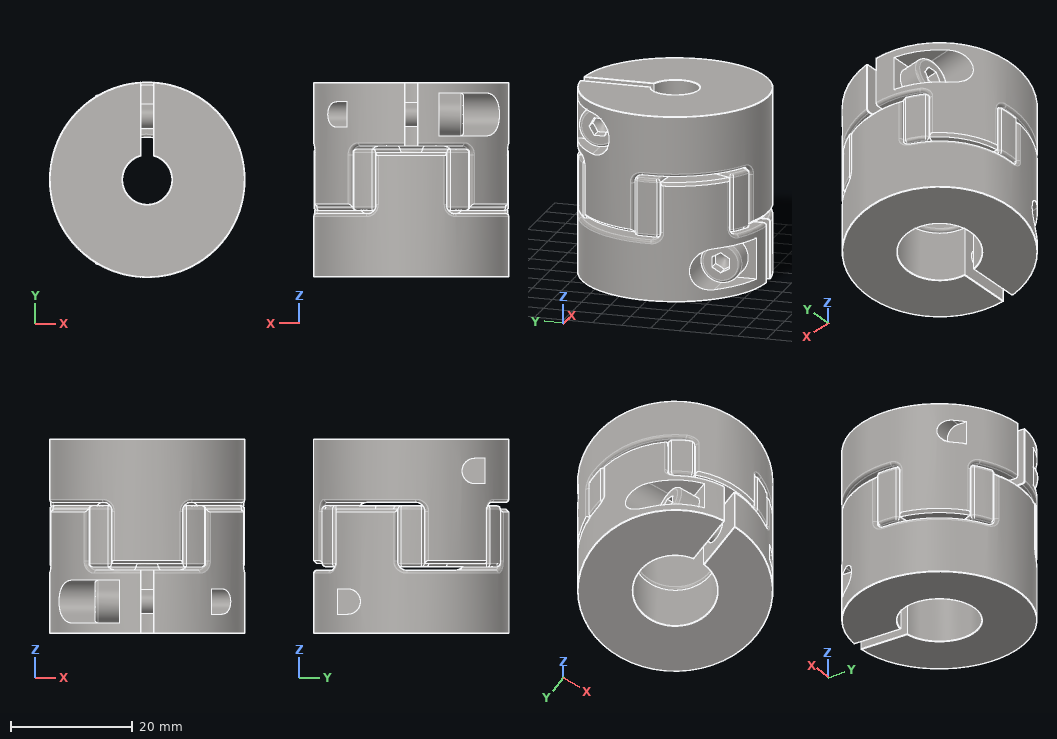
import cadquery as cq
import math


outer_radius = 16.1
half_length = 16.0
floor_height = 5.57
jaw_overlap = 4.5
jaw_count = 3
root_radius = 1.5
edge_bevel = 0.5
end_bevel = 0.1
lower_bore_radius = 7.0
upper_bore_radius = 4.05
slit_width = 2.0

jaw_inner_radius = 9.0
jaw_tip_half_width = 1.67
jaw_flank_angle = 36.0
jaw_overreach = 3.22

spider_radius = 16.05
spider_half_height = 5.02
spider_hole_radius = 7.0
spider_clearance = 0.1
arm_bevel = 0.4

screw_y = -10.45
screw_z = -10.75
shank_radius = 2.0
head_radius = 3.5
head_height = 4.0
head_round = 0.48
head_seat_x = -4.6
shank_length = 12.0
tip_pocket_x = 10.55
head_pocket_radius = 3.55
tip_pocket_radius = 2.1
socket_sides = 6
socket_flats = 3.0
lower_socket_turn = 30.0
upper_socket_turn = 0.0
socket_depth = 2.0
socket_cone_height = 0.95

tolerance = 0.003
height_margin = 0.03

pitch = 360 / jaw_count
lower_jaw_angles = [90 + i * pitch for i in range(jaw_count)]
upper_jaw_angles = [-angle for angle in lower_jaw_angles]


def disc(radius, z_low, z_high):
    """Solid cylinder on the Z axis."""
    return cq.Workplane("XY", origin=(0, 0, z_low)).circle(radius).extrude(z_high - z_low)


def rod(radius, x_from, x_to):
    """Solid cylinder along X on the screw axis of the lower hub."""
    return cq.Workplane("YZ", origin=(x_from, screw_y, screw_z)).circle(radius).extrude(x_to - x_from)


def jaw_prism(angle, z_low, z_high, gap=0.0):
    """Wedge with a concave inner end, centred on the given angle and running past the outer radius."""
    slope = math.radians(jaw_flank_angle)
    inner_radius = jaw_inner_radius - gap
    tip_y = math.sqrt(jaw_inner_radius**2 - jaw_tip_half_width**2)
    widening = gap / math.cos(slope)
    far_y = outer_radius + jaw_overreach
    far_x = jaw_tip_half_width + widening + (far_y - tip_y) * math.tan(slope)
    b = math.tan(slope)
    a = jaw_tip_half_width + widening - b * tip_y
    inner_y = (-a * b + math.sqrt(inner_radius**2 * (1 + b**2) - a**2)) / (1 + b**2)
    inner_x = a + b * inner_y
    return (
        cq.Workplane("XY", origin=(0, 0, z_low))
        .moveTo(-inner_x, inner_y)
        .threePointArc((0, inner_radius), (inner_x, inner_y))
        .lineTo(far_x, far_y)
        .lineTo(-far_x, far_y)
        .close()
        .extrude(z_high - z_low)
        .rotate((0, 0, 0), (0, 0, 1), angle - 90)
    )


def rim_edges(shape, radius, z_low, z_high):
    """Edges lying on the cylinder of the given radius with their centres between two heights."""
    samples = (0, 0.25, 0.5, 0.75, 1)
    found = []
    for edge in shape.edges().vals():
        points = [edge.positionAt(sample) for sample in samples]
        on_cylinder = all(abs(math.hypot(p.x, p.y) - radius) < tolerance for p in points)
        if on_cylinder and z_low < edge.Center().z < z_high:
            found.append(edge)
    return found


def floor_edges(hub):
    """Edges where the jaws rise from the gullet floors, without the outer rim."""
    on_floor = [e for e in hub.edges().vals() if abs(e.Center().z + floor_height) < tolerance]
    return [e for e in on_floor if e.geomType() == "LINE" or e.radius() < outer_radius - tolerance]


def screw_pocket(radius, x_from, x_to):
    """U-shaped pocket along X, centred on the screw and open towards -Y."""
    length = x_to - x_from
    channel = cq.Workplane("XY").box(length, outer_radius, 2 * radius, centered=(False, False, True))
    return rod(radius, x_from, x_to).union(channel.translate((x_from, screw_y - outer_radius, screw_z)))


def make_hub(bore_radius):
    """Hub with its jaws pointing up, its slit on -Y and its screw head pocket on -X."""
    hub = disc(outer_radius, -half_length, -floor_height)
    jaw_limit = disc(outer_radius, -half_length, jaw_overlap)
    for angle in lower_jaw_angles:
        hub = hub.union(jaw_prism(angle, -half_length, jaw_overlap).intersect(jaw_limit))

    hub = hub.newObject(floor_edges(hub)).fillet(root_radius)
    jaw_tips = rim_edges(hub, outer_radius, jaw_overlap - height_margin, jaw_overlap + height_margin)
    hub = hub.newObject(jaw_tips).chamfer(edge_bevel)
    side_top = jaw_overlap - edge_bevel - height_margin
    jaw_sides = rim_edges(hub, outer_radius, -floor_height - height_margin, side_top)
    hub = hub.newObject(jaw_sides).fillet(edge_bevel)
    hub = hub.cut(disc(bore_radius, -half_length, half_length))

    slit = cq.Workplane("XY").box(slit_width, outer_radius, half_length, centered=(True, False, False))
    hub = hub.cut(slit.translate((0, -outer_radius, -half_length)))
    slit_mouth = [
        edge
        for edge in rim_edges(hub, outer_radius, -half_length + height_margin, -floor_height - height_margin)
        if abs(edge.Center().x) < slit_width and edge.Center().y < 0 and edge.geomType() == "LINE"
    ]
    end_rim = hub.faces("<Z").edges().vals()
    hub = hub.newObject(slit_mouth + end_rim).chamfer(end_bevel)

    hub = hub.cut(screw_pocket(head_pocket_radius, -outer_radius, head_seat_x))
    hub = hub.cut(screw_pocket(tip_pocket_radius, tip_pocket_x, outer_radius))
    return hub.cut(rod(shank_radius, head_seat_x, head_seat_x + shank_length))


def make_screw(socket_turn):
    """Socket head cap screw along X, with its hexagon turned about its own axis."""
    head_top_x = head_seat_x - head_height
    head = rod(head_radius, head_top_x, head_seat_x).faces("<X").edges().fillet(head_round)
    shank = rod(shank_radius, head_seat_x, head_seat_x + shank_length)

    socket_diameter = socket_flats / math.cos(math.pi / socket_sides)
    hexagon = cq.Workplane("YZ", origin=(head_top_x, 0, 0)).polygon(socket_sides, socket_diameter)
    socket = hexagon.extrude(socket_depth + socket_cone_height)
    cone = (
        cq.Workplane("XY")
        .moveTo(head_top_x, 0)
        .lineTo(head_top_x + socket_depth + socket_cone_height, 0)
        .lineTo(head_top_x + socket_depth, socket_diameter / 2)
        .lineTo(head_top_x, socket_diameter / 2)
        .close()
        .revolve(360, (0, 0, 0), (1, 0, 0))
    )
    socket = socket.intersect(cone).rotate((0, 0, 0), (1, 0, 0), socket_turn)
    return head.union(shank).cut(socket.translate((0, screw_y, screw_z)))


def make_spider():
    """Six-armed disc filling the spaces between the jaws of both hubs."""
    spider = disc(spider_radius, -spider_half_height, spider_half_height)
    for angle in lower_jaw_angles + upper_jaw_angles:
        spider = spider.cut(jaw_prism(angle, -half_length, half_length, spider_clearance))
    arm_sides = rim_edges(spider, spider_radius, -height_margin, height_margin)
    spider = spider.newObject(arm_sides).chamfer(arm_bevel)
    spider = spider.cut(disc(spider_hole_radius, -half_length, half_length))
    return spider.faces("|Z").edges().fillet(edge_bevel)


def flip(body):
    """Turn a body half a turn about X, from the lower hub's place to the upper hub's."""
    return body.rotate((0, 0, 0), (1, 0, 0), 180)


lower_hub = make_hub(lower_bore_radius)
upper_hub = flip(make_hub(upper_bore_radius))
spider = make_spider()
lower_screw = make_screw(lower_socket_turn)
upper_screw = flip(make_screw(upper_socket_turn))

result = cq.Compound.makeCompound(
    [lower_hub.val(), upper_hub.val(), spider.val(), lower_screw.val(), upper_screw.val()]
)